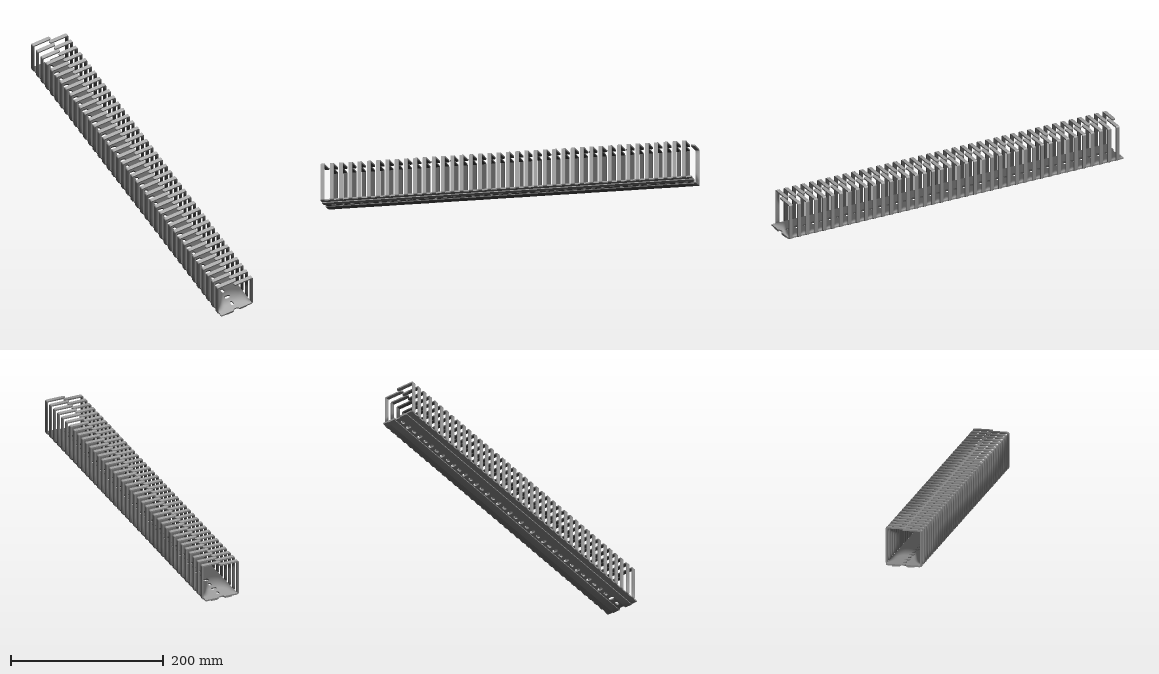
import cadquery as cq


LENGTH = 500.0
WIDTH = 50.0
HEIGHT = 51.0

TAPE_THICKNESS = 1.0
TAPE_WIDTH = 10.0
TAPE_OFFSET = 10.0

WALL = 2.0
DUCT_HEIGHT = HEIGHT - TAPE_THICKNESS
FLOOR_WIDTH = WIDTH - 2 * WALL
FLOOR_TOP = TAPE_THICKNESS + WALL
OUTER_RADIUS = WALL

FINGER_COUNT = 40
FINGER_PITCH = LENGTH / FINGER_COUNT
FINGER_WIDTH = 5.0
FINGER_OVERLAP = 2.4
TIP_RADIUS = FINGER_WIDTH / 2
FIRST_FINGER = FINGER_PITCH / 4

SLOT_PITCH = 25.0
SLOT_COUNT = round(LENGTH / SLOT_PITCH)
CROSS_SLOT_LENGTH = 8.0
CROSS_SLOT_WIDTH = 5.0
LONG_SLOT_LENGTH = 7.0
LONG_SLOT_WIDTH = 4.0


def make_finger():
    """One -Y finger centred on X = 0: a slice of rounded square tube, cut to a round-ended footprint."""
    section = (
        cq.Workplane("YZ")
        .rect(WIDTH, DUCT_HEIGHT)
        .extrude(FINGER_WIDTH / 2, both=True)
        .edges("|X")
        .fillet(OUTER_RADIUS)
    )
    bore = (
        cq.Workplane("YZ")
        .rect(WIDTH - 2 * WALL, DUCT_HEIGHT - 2 * WALL)
        .extrude(FINGER_WIDTH / 2, both=True)
    )
    hoop = section.cut(bore).translate((0, 0, TAPE_THICKNESS + DUCT_HEIGHT / 2))

    half_width = FINGER_WIDTH / 2
    tip_start = FINGER_OVERLAP - TIP_RADIUS
    footprint = (
        cq.Workplane("XY")
        .moveTo(-half_width, -WIDTH / 2)
        .lineTo(half_width, -WIDTH / 2)
        .lineTo(half_width, tip_start)
        .threePointArc((0, FINGER_OVERLAP), (-half_width, tip_start))
        .close()
        .extrude(HEIGHT)
    )
    return hoop.intersect(footprint)


def make_fingers():
    """Both combs, as a list of separate finger shapes."""
    near_finger = make_finger()
    far_finger = near_finger.rotate((0, 0, 0), (0, 0, 1), 180)
    fingers = []
    for i in range(FINGER_COUNT):
        near_x = FIRST_FINGER + i * FINGER_PITCH
        far_x = near_x + FINGER_PITCH / 2
        fingers.append(near_finger.translate((near_x, 0, 0)).val())
        fingers.append(far_finger.translate((far_x, 0, 0)).val())
    return fingers


def make_floor_slots():
    """Cutters for the cross slots, which also open both ends, and the lengthwise slots between them."""
    cross_points = [(i * SLOT_PITCH, 0) for i in range(SLOT_COUNT + 1)]
    long_points = [((i + 0.5) * SLOT_PITCH, 0) for i in range(SLOT_COUNT)]
    cross_slots = (
        cq.Workplane("XY")
        .pushPoints(cross_points)
        .slot2D(CROSS_SLOT_LENGTH, CROSS_SLOT_WIDTH, 90)
        .extrude(FLOOR_TOP)
    )
    long_slots = (
        cq.Workplane("XY")
        .pushPoints(long_points)
        .slot2D(LONG_SLOT_LENGTH, LONG_SLOT_WIDTH)
        .extrude(FLOOR_TOP)
    )
    return cross_slots, long_slots


def make_duct():
    """The floor with both finger combs joined to its long edges."""
    floor = (
        cq.Workplane("XY", origin=(0, 0, TAPE_THICKNESS))
        .box(LENGTH, FLOOR_WIDTH, WALL, centered=(False, True, False))
    )
    duct = cq.Workplane(floor.val().fuse(*make_fingers()).clean())
    for slots in make_floor_slots():
        duct = duct.cut(slots)
    return duct.solids()


def make_tape(centre_y):
    """A flat strip along the whole underside of the duct."""
    return (
        cq.Workplane("XY", origin=(0, centre_y, 0))
        .box(LENGTH, TAPE_WIDTH, TAPE_THICKNESS, centered=(False, True, False))
    )


duct = make_duct()
tapes = [make_tape(side * TAPE_OFFSET).val() for side in (-1, 1)]

result = cq.Compound.makeCompound([*duct.vals(), *tapes])